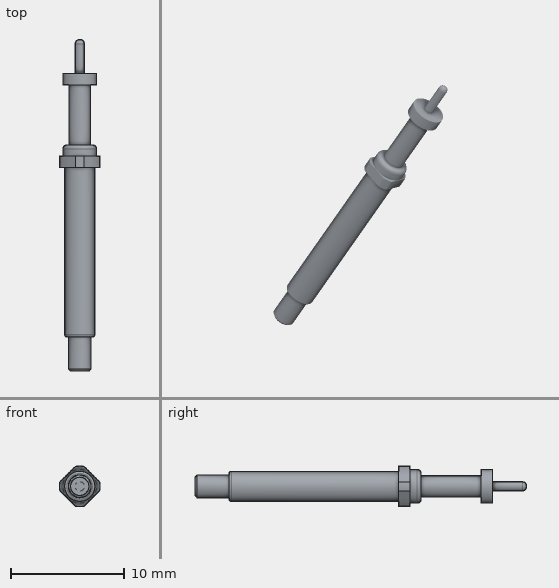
import cadquery as cq

total_length = 29.3

pin_diameter = 0.82
pin_length = 3.0
pin_tip_radius = 0.38

flange_diameter = 3.0
flange_width = 1.03

neck_diameter = 1.9
neck_length = 5.3

collar_diameter = flange_diameter
collar_length = 1.0
collar_fillet = 0.35

nut_across_flats = 3.05
nut_across_corners = 3.6
nut_width = 1.0

barrel_diameter = 2.67
barrel_fillet = 0.2

plunger_diameter = 2.02
plunger_length = 3.02
plunger_chamfer = 0.2

pin_tip_y = total_length / 2
flange_y = pin_tip_y - pin_length
neck_y = flange_y - flange_width
collar_y = neck_y - neck_length
nut_y = collar_y - collar_length
barrel_y = nut_y - nut_width
plunger_y = plunger_length - total_length / 2
barrel_length = barrel_y - plunger_y


def plane_at(y):
    """Plane across the axis at y, with its normal towards -Y."""
    return cq.Workplane("XZ", origin=(0, y, 0))


def cylinder(start_y, diameter, length):
    """Round section running from start_y towards -Y."""
    return plane_at(start_y).circle(diameter / 2).extrude(length)


pin = cylinder(pin_tip_y, pin_diameter, pin_length).faces(">Y").edges().fillet(pin_tip_radius)

flange = cylinder(flange_y, flange_diameter, flange_width)
neck = cylinder(neck_y, neck_diameter, neck_length)

collar = cylinder(collar_y, collar_diameter, collar_length).faces(">Y").edges().fillet(collar_fillet)

nut_square = (
    plane_at(nut_y)
    .transformed(rotate=(0, 0, 45))
    .rect(nut_across_flats, nut_across_flats)
    .extrude(nut_width)
)
nut = nut_square.intersect(cylinder(nut_y, nut_across_corners, nut_width))

barrel = cylinder(barrel_y, barrel_diameter, barrel_length).faces("<Y").edges().fillet(barrel_fillet)
plunger = cylinder(plunger_y, plunger_diameter, plunger_length).faces("<Y").chamfer(plunger_chamfer)

result = pin
for section in (flange, neck, collar, nut, barrel, plunger):
    result = result.union(section)